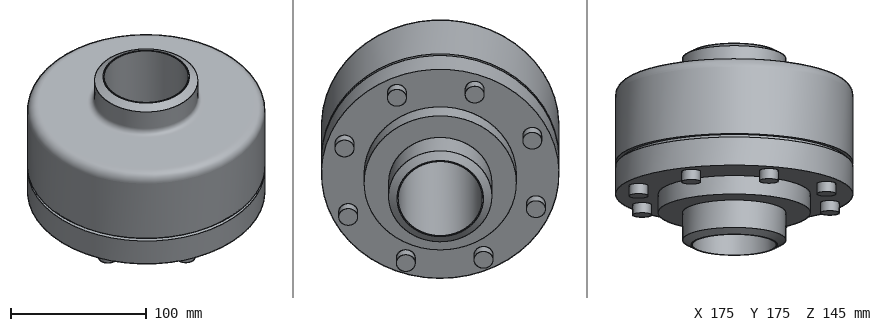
import cadquery as cq

body_diameter = 175.0
groove_diameter = 169.0
step_diameter = 112.2
pipe_diameter = 76.1
bore_diameter = 62.0
bolt_diameter = 14.0
bolt_circle_diameter = 149.8
bolt_count = 8

step_bottom = 24.3
bolt_bottom = 30.6
flange_bottom = 38.3
groove_bottom = 59.7
groove_top = 62.3
body_top = 121.0
overall_height = 145.0

body_fillet = 8.0
neck_fillet = 4.9
bevel_height = 3.5
bevel_lip = 0.9


def cylinder(diameter, bottom, top):
    """Vertical cylinder on the Z axis between two heights."""
    return cq.Workplane("XY").workplane(offset=bottom).circle(diameter / 2).extrude(top - bottom)


def beveled_pipe():
    """Solid pipe blank with a weld bevel at both ends."""
    bevel_width = (pipe_diameter - bore_diameter) / 2 - bevel_lip
    outer = pipe_diameter / 2
    end = outer - bevel_width
    return (
        cq.Workplane("XZ")
        .moveTo(0, 0)
        .lineTo(end, 0)
        .lineTo(outer, bevel_height)
        .lineTo(outer, overall_height - bevel_height)
        .lineTo(end, overall_height)
        .lineTo(0, overall_height)
        .close()
        .revolve(360, (0, 0, 0), (0, 1, 0))
    )


def neck_flare():
    """Concave fillet ring where the upper pipe meets the body."""
    outer = pipe_diameter / 2
    inner = outer - neck_fillet
    return (
        cq.Workplane("XZ")
        .moveTo(inner, body_top)
        .lineTo(outer + neck_fillet, body_top)
        .radiusArc((outer, body_top + neck_fillet), neck_fillet)
        .lineTo(inner, body_top + neck_fillet)
        .close()
        .revolve(360, (0, 0, 0), (0, 1, 0))
    )


def bolts():
    """Ring of bolt heads below the flange."""
    return (
        cq.Workplane("XY")
        .workplane(offset=bolt_bottom)
        .polarArray(bolt_circle_diameter / 2, 0, 360, bolt_count)
        .circle(bolt_diameter / 2)
        .extrude(flange_bottom - bolt_bottom)
    )


upper_body = cylinder(body_diameter, groove_top, body_top).faces(">Z").edges().fillet(body_fillet)
flange = cylinder(body_diameter, flange_bottom, groove_bottom)
groove_core = cylinder(groove_diameter, groove_bottom, groove_top)
step = cylinder(step_diameter, step_bottom, flange_bottom)
bore = cylinder(bore_diameter, 0, overall_height)

result = (
    upper_body.union(groove_core)
    .union(flange)
    .union(step)
    .union(beveled_pipe())
    .union(neck_flare())
    .union(bolts())
    .cut(bore)
)